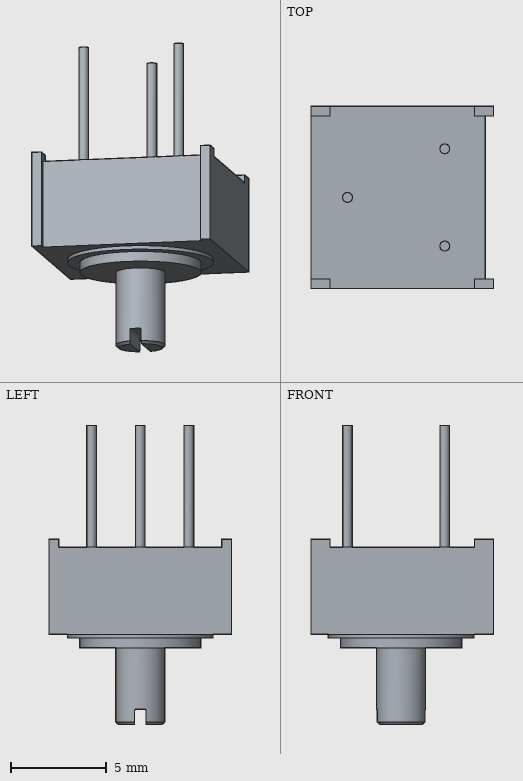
import cadquery as cq

BODY_SIDE = 9.53
BODY_HEIGHT = 4.56

FOOT_LENGTH_X = 1.0
FOOT_WIDTH_Y = 0.52
FOOT_HEIGHT = 0.42

SIDE_RECESS_DEPTH = 0.42

ROTOR_X = -0.06
COLLAR_DIAMETER = 7.63
COLLAR_HEIGHT = 0.19
DISC_DIAMETER = 6.35
DISC_HEIGHT = 0.52
SHAFT_DIAMETER = 2.58
SHAFT_LENGTH = 4.0
SHAFT_CHAMFER = 0.14

SLOT_WIDTH = 0.6
SLOT_DEPTH = 0.8
SLOT_CORNER_RADIUS = 0.08

TOTAL_HEIGHT = 15.63
PIN_DIAMETER = 0.52
PIN_PITCH = 5.08
SINGLE_PIN_X = -2.86

COLLAR_BOTTOM = -COLLAR_HEIGHT
DISC_BOTTOM = COLLAR_BOTTOM - DISC_HEIGHT
SHAFT_BOTTOM = DISC_BOTTOM - SHAFT_LENGTH
PIN_TOP = SHAFT_BOTTOM + TOTAL_HEIGHT


def cylinder_down(diameter, top, bottom):
    """Cylinder on the rotor axis between two levels."""
    return (
        cq.Workplane("XY", origin=(ROTOR_X, 0, top))
        .circle(diameter / 2)
        .extrude(bottom - top)
    )


def make_housing():
    """Square block with four corner feet and a recessed +X face."""
    block = cq.Workplane("XY").rect(BODY_SIDE, BODY_SIDE).extrude(BODY_HEIGHT)
    feet = (
        cq.Workplane("XY", origin=(0, 0, BODY_HEIGHT))
        .rarray(BODY_SIDE - FOOT_LENGTH_X, BODY_SIDE - FOOT_WIDTH_Y, 2, 2)
        .rect(FOOT_LENGTH_X, FOOT_WIDTH_Y)
        .extrude(FOOT_HEIGHT)
    )
    recess = (
        cq.Workplane("XY", origin=((BODY_SIDE - SIDE_RECESS_DEPTH) / 2, 0, 0))
        .rect(SIDE_RECESS_DEPTH, BODY_SIDE - 2 * FOOT_WIDTH_Y)
        .extrude(BODY_HEIGHT)
    )
    return block.cut(recess).union(feet)


def make_rotor():
    """Collar, disc and slotted shaft stacked downwards on one axis."""
    collar = cylinder_down(COLLAR_DIAMETER, 0, COLLAR_BOTTOM)
    disc = cylinder_down(DISC_DIAMETER, COLLAR_BOTTOM, DISC_BOTTOM)
    shaft = (
        cylinder_down(SHAFT_DIAMETER, DISC_BOTTOM, SHAFT_BOTTOM)
        .faces("<Z")
        .chamfer(SHAFT_CHAMFER)
    )
    slot = (
        cq.Workplane("XY", origin=(ROTOR_X, 0, SHAFT_BOTTOM))
        .rect(SHAFT_DIAMETER, SLOT_WIDTH)
        .extrude(SLOT_DEPTH)
        .edges("|X and >Z")
        .fillet(SLOT_CORNER_RADIUS)
    )
    return collar.union(disc).union(shaft.cut(slot))


def make_pins():
    """One pin on the X axis and a pair one pitch further along +X."""
    pair_x = SINGLE_PIN_X + PIN_PITCH
    centres = [
        (SINGLE_PIN_X, 0),
        (pair_x, PIN_PITCH / 2),
        (pair_x, -PIN_PITCH / 2),
    ]
    return (
        cq.Workplane("XY", origin=(0, 0, BODY_HEIGHT))
        .pushPoints(centres)
        .circle(PIN_DIAMETER / 2)
        .extrude(PIN_TOP - BODY_HEIGHT)
    )


result = make_housing().union(make_rotor()).union(make_pins())